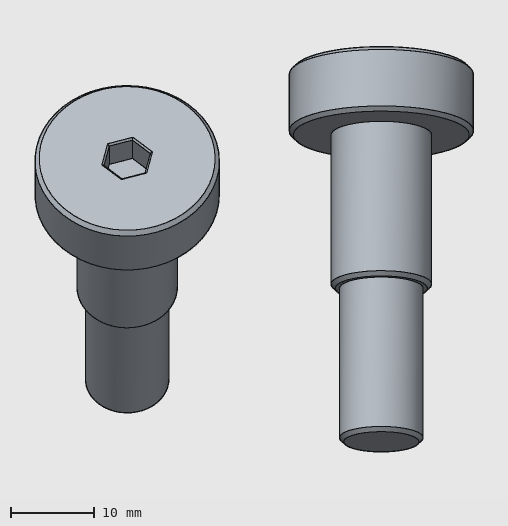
import cadquery as cq
import math

total_length = 46.0
head_height = 8.0
shoulder_length = 19.0
shank_length = total_length - head_height - shoulder_length

head_diameter = 22.0
shoulder_diameter = 12.0
shank_diameter = 10.0

edge_chamfer = 0.5

socket_across_flats = 5.0
socket_depth = 4.0
socket_chamfer = 0.25

corner_to_flat_ratio = 1 / math.cos(math.pi / 6)


def cylinder(diameter, base, height):
    """Cylinder about the Z axis, standing on the height `base`."""
    return cq.Workplane("XY").workplane(offset=base).circle(diameter / 2).extrude(height)


def hex_socket():
    """Hexagonal cutter with a flared mouth at the top of the head."""
    mouth_across_flats = socket_across_flats + 2 * socket_chamfer
    top_plane = cq.Workplane("XY").workplane(offset=total_length)
    bore = top_plane.polygon(6, socket_across_flats * corner_to_flat_ratio).extrude(-socket_depth)
    mouth = (
        top_plane.polygon(6, mouth_across_flats * corner_to_flat_ratio)
        .workplane(offset=-socket_chamfer)
        .polygon(6, socket_across_flats * corner_to_flat_ratio)
        .loft(ruled=True)
    )
    return bore.union(mouth)


shank = cylinder(shank_diameter, 0, shank_length).faces("<Z").chamfer(edge_chamfer)
shoulder = cylinder(shoulder_diameter, shank_length, shoulder_length).faces("<Z").chamfer(edge_chamfer)
head = cylinder(head_diameter, shank_length + shoulder_length, head_height).edges().chamfer(edge_chamfer)

result = shank.union(shoulder).union(head).cut(hex_socket())